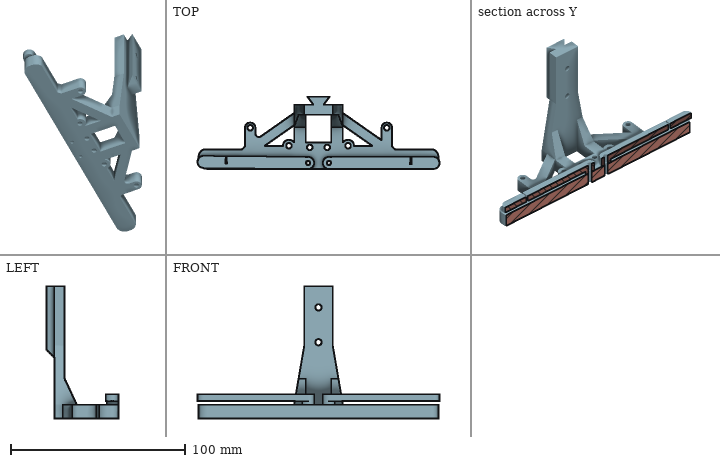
import cadquery as cq
import math

plate_height = 8.0
rail_half_length = 69.0
rail_width = 11.3
rail_corner_radius = 5.0
rail_back_arc_center_y = 6.7
small_hole_diameter = 3.0

frame_half_width = 14.0
post_back_y = 37.0
post_thickness = 6.0
post_front_y = post_back_y - post_thickness
post_half_width = 8.2
post_top_z = 76.0
taper_top_z = 42.0
post_hole_diameter = 3.5
post_hole_heights = (43.8, 63.8)

window_half_width = 7.2
window_front_y = 15.3

gusset_front_y = 24.0
gusset_top_z = 23.0

dovetail_back_y = 41.5
dovetail_depth = dovetail_back_y - post_back_y
dovetail_root_half_width = 3.0
dovetail_back_half_width = 6.5
dovetail_bottom_z = 35.0

lug_x = 39.2
lug_hole_y = 23.6
lug_radius = 3.0
lug_corner_radius = 2.0
lug_foot_chamfer = 1.7
brace_slope = math.tan(math.radians(35))
brace_inner_y = 25.0
brace_outer_y = 32.1
opening_front_y = 13.3
opening_tip_x = frame_half_width + (brace_inner_y - opening_front_y) / brace_slope

ear_x = 17.0
ear_diameter = 7.0
middle_hole_x = 5.0
middle_hole_y = 12.4

lever_bottom_z = 10.0
lever_top_z = 14.0
lever_thickness = lever_top_z - lever_bottom_z
lever_radius = 3.5
lever_tip_x = 69.5
pivot_x = 6.0
pivot_y = lever_radius
lever_hole_diameter = 2.5
pivot_hole_diameter = 2.1
slot_x = 53.0
slot_width = 0.8
slot_depth = lever_thickness / 2
slot_hole_y = 3.2
slot_hole_diameter = 1.2
left_lever_tilt = 0.55

SIDES = (-1, 1)


def rod(x, y, diameter, bottom_z, height):
    """Upright cylinder."""
    return cq.Workplane("XY", origin=(x, y, bottom_z)).circle(diameter / 2).extrude(height)


def block(x_min, x_max, y_min, y_max, bottom_z, height):
    """Box between the given limits."""
    corner = (x_min, y_min, bottom_z)
    return cq.Workplane("XY", origin=corner).box(x_max - x_min, y_max - y_min, height, centered=False)


def make_rail():
    """Front rail: front corners fully rounded, back corner arcs cut short by the back face."""
    arc_center_x = rail_half_length - rail_corner_radius
    back_arc_rise = rail_width - rail_back_arc_center_y
    back_arc_x = arc_center_x + math.sqrt(rail_corner_radius**2 - back_arc_rise**2)
    right_half = (
        cq.Workplane("XY")
        .moveTo(0, 0)
        .lineTo(arc_center_x, 0)
        .radiusArc((rail_half_length, rail_corner_radius), -rail_corner_radius)
        .lineTo(rail_half_length, rail_back_arc_center_y)
        .radiusArc((back_arc_x, rail_width), -rail_corner_radius)
        .lineTo(0, rail_width)
        .close()
        .extrude(plate_height)
    )
    return right_half.union(right_half.mirror("YZ"))


def make_bracing():
    """Lugs with chamfered feet, and braces that leave triangular openings beside the frame."""
    lug_outer_x = lug_x + lug_radius
    lug_inner_x = lug_x - lug_radius
    brace_end_y = brace_outer_y - brace_slope * (lug_inner_x - frame_half_width)
    right_half = (
        cq.Workplane("XY")
        .moveTo(0, 0)
        .lineTo(lug_outer_x + lug_foot_chamfer, 0)
        .lineTo(lug_outer_x + lug_foot_chamfer, rail_width)
        .lineTo(lug_outer_x, rail_width + lug_foot_chamfer)
        .lineTo(lug_outer_x, lug_hole_y)
        .threePointArc((lug_x, lug_hole_y + lug_radius), (lug_inner_x, lug_hole_y))
        .lineTo(lug_inner_x, brace_end_y)
        .lineTo(frame_half_width, brace_outer_y)
        .lineTo(frame_half_width, brace_inner_y)
        .lineTo(opening_tip_x, opening_front_y)
        .lineTo(0, opening_front_y)
        .close()
        .extrude(plate_height)
    )
    left_half = right_half.mirror("YZ")
    left_corner = cq.selectors.NearestToPointSelector((-lug_inner_x, brace_end_y, plate_height / 2))
    left_half = left_half.edges(left_corner).fillet(lug_corner_radius)
    return right_half.union(left_half)


def make_flared_block():
    """Front shape of the post, flared to the frame width, running forward over the frame."""
    right_side = [
        (frame_half_width, 0),
        (frame_half_width, plate_height),
        (post_half_width, taper_top_z),
        (post_half_width, post_top_z),
    ]
    left_side = [(-x, z) for x, z in reversed(right_side)]
    return (
        cq.Workplane("XZ", origin=(0, post_back_y, 0))
        .polyline(right_side + left_side)
        .close()
        .extrude(post_back_y)
    )


def make_post_and_arms():
    """Post with its arms and gussets: the flared front shape trimmed to the side profile."""
    side_profile = (
        cq.Workplane("YZ", origin=(-frame_half_width, 0, 0))
        .polyline([
            (0, 0),
            (post_back_y, 0),
            (post_back_y, post_top_z),
            (post_front_y, post_top_z),
            (post_front_y, gusset_top_z),
            (gusset_front_y, plate_height),
            (0, plate_height),
        ])
        .close()
        .extrude(2 * frame_half_width)
    )
    return make_flared_block().intersect(side_profile)


def make_dovetail():
    """Dovetail rail on the back of the post."""
    half_profile = [
        (dovetail_root_half_width, post_back_y),
        (dovetail_back_half_width, dovetail_back_y),
    ]
    mirrored = [(-x, y) for x, y in reversed(half_profile)]
    rail = (
        cq.Workplane("XY", origin=(0, 0, dovetail_bottom_z))
        .polyline(half_profile + mirrored)
        .close()
        .extrude(post_top_z - dovetail_bottom_z)
    )
    slope_wedge = (
        cq.Workplane("YZ", origin=(-dovetail_back_half_width, 0, 0))
        .polyline([
            (post_back_y, dovetail_bottom_z),
            (dovetail_back_y, dovetail_bottom_z),
            (dovetail_back_y, dovetail_bottom_z + dovetail_depth),
        ])
        .close()
        .extrude(2 * dovetail_back_half_width)
    )
    return rail.cut(slope_wedge)


def cut_holes(frame):
    """Holes through the plate, and the cross holes through post and dovetail."""
    for side in SIDES:
        for x, y, diameter in (
            (lug_x, lug_hole_y, small_hole_diameter),
            (ear_x, opening_front_y, small_hole_diameter),
            (middle_hole_x, middle_hole_y, small_hole_diameter),
            (pivot_x, pivot_y, pivot_hole_diameter),
        ):
            frame = frame.cut(rod(side * x, y, diameter, 0, plate_height))
    for z in post_hole_heights:
        cross_hole = (
            cq.Workplane("XZ", origin=(0, dovetail_back_y, z))
            .circle(post_hole_diameter / 2)
            .extrude(dovetail_back_y - post_front_y)
        )
        frame = frame.cut(cross_hole)
    return frame


def make_frame():
    """Frame body: plate, post and dovetail in one piece."""
    plate = make_rail().union(make_bracing())
    for side in SIDES:
        plate = plate.union(rod(side * ear_x, opening_front_y, ear_diameter, 0, plate_height))
    frame = plate.union(make_post_and_arms())
    window = block(
        -window_half_width, window_half_width, window_front_y, post_front_y, 0, gusset_top_z
    )
    frame = frame.cut(window).union(make_dovetail())
    return cut_holes(frame)


def make_lever(side):
    """Lever on one side: bar with rounded ends, boss, pivot hole, and slot in its back edge."""
    tip_center_x = lever_tip_x - lever_radius
    boss_height = lever_top_z - plate_height
    diameter = 2 * lever_radius
    bar = block(pivot_x, tip_center_x, 0, diameter, lever_bottom_z, lever_thickness)
    tip = rod(tip_center_x, pivot_y, diameter, lever_bottom_z, lever_thickness)
    lever = rod(pivot_x, pivot_y, diameter, plate_height, boss_height).union(bar).union(tip)
    lever = lever.cut(rod(pivot_x, pivot_y, lever_hole_diameter, plate_height, boss_height))
    slot = block(
        slot_x - slot_width / 2,
        slot_x + slot_width / 2,
        slot_hole_y,
        pivot_y + lever_radius,
        lever_top_z - slot_depth,
        slot_depth,
    )
    slot_hole = rod(slot_x, slot_hole_y, slot_hole_diameter, lever_bottom_z, lever_thickness)
    lever = lever.cut(slot).cut(slot_hole)
    if side < 0:
        lever = lever.mirror("YZ").rotate(
            (-pivot_x, pivot_y, 0), (-pivot_x, pivot_y, 1), -left_lever_tilt
        )
    return lever


frame = make_frame()
levers = [make_lever(side) for side in SIDES]

result = cq.Compound.makeCompound([frame.val(), *[lever.val() for lever in levers]])